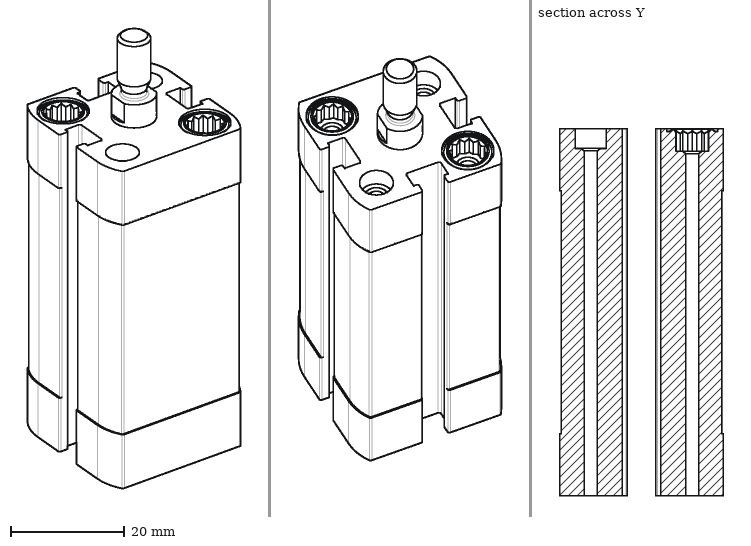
import cadquery as cq
import math

TOTAL_HEIGHT = 81.7

CAP_WIDTH = 29.0
TUBE_INSET = 0.25
HOUSING_HEIGHT = 65.0
CAP_HEIGHT = 11.0
HOLE_OFFSET = 9.0
CORNER_RADIUS = 10.0
CORNER_EDGE_ROUND = 0.5

SLOT_ANGLES = (90, 180, 270)
SLOT_MOUTH = 5.0
SLOT_WIDTH = 6.8
SLOT_DEPTH = 5.2
LIP_DEPTH = 2.0
LIP_ROUND = 0.3
SLOT_CORNER_ROUND = 0.4

THROUGH_DIAMETER = 3.3
COUNTERSINK_DIAMETER = 4.2
COUNTERBORE_DIAMETER = 6.0
COUNTERBORE_DEPTH = 3.5

SOCKET_ACROSS_FLATS = 5.7
SOCKET_DEPTH = 4.0
RECESS_DIAMETER = 9.2
GROOVE_DEPTH = 0.5
CROWN_DIAMETER = 8.5
CREST_DIAMETER = 7.5
CREST_DROP = 0.2
SOCKET_MOUTH_DIAMETER = 6.95
SOCKET_MOUTH_DEPTH = 1.1

COLLAR_DIAMETER = 8.0
COLLAR_HEIGHT = 4.7
FLATS_WIDTH = 7.0
FLATS_HEIGHT = 3.9
NECK_DIAMETER = 4.5
NECK_HEIGHT = 1.15
NECK_ROUND = 0.3
STUD_DIAMETER = 6.0
STUD_CONE_HEIGHT = 2.0
STUD_CHAMFER = 0.6


def turned(profile):
    """Solid of revolution about Z from a closed (radius, z) outline."""
    return cq.Workplane("XZ").polyline(profile).close().revolve(360, (0, 0, 0), (0, 1, 0))


def outline_prism(width, height):
    """Square section with flat X faces and a large arc running into each Y face."""
    half = width / 2
    run = half - HOLE_OFFSET
    sweep = math.asin(run / CORNER_RADIUS)
    end_y = half - CORNER_RADIUS * (1 - math.cos(sweep))
    mid_x = HOLE_OFFSET + CORNER_RADIUS * math.sin(sweep / 2)
    mid_y = half - CORNER_RADIUS * (1 - math.cos(sweep / 2))
    prism = (
        cq.Workplane("XY")
        .moveTo(-HOLE_OFFSET, half)
        .lineTo(HOLE_OFFSET, half)
        .threePointArc((mid_x, mid_y), (half, end_y))
        .lineTo(half, -end_y)
        .threePointArc((mid_x, -mid_y), (HOLE_OFFSET, -half))
        .lineTo(-HOLE_OFFSET, -half)
        .threePointArc((-mid_x, -mid_y), (-half, -end_y))
        .lineTo(-half, end_y)
        .threePointArc((-mid_x, mid_y), (-HOLE_OFFSET, half))
        .close()
        .extrude(height)
    )
    return prism.edges("|Z and (<X or >X)").fillet(CORNER_EDGE_ROUND)


def slot_cutter(width, height):
    """T-slot opening toward +X, with a rounded mouth on a section of the given width."""
    face = width / 2
    floor = CAP_WIDTH / 2 - SLOT_DEPTH
    lip_inside = CAP_WIDTH / 2 - LIP_DEPTH
    mouth_half = SLOT_MOUTH / 2
    lip_mid = (lip_inside + face) / 2
    blank = cq.Workplane("XY").box(face - floor, 2 * SLOT_WIDTH, height, centered=(False, True, False))
    blank = blank.translate((floor, 0, 0))
    lip_size = SLOT_WIDTH - mouth_half
    for side in (-1, 1):
        lip = (
            cq.Workplane("XY")
            .box(face - lip_inside, lip_size, height, centered=(True, True, False))
            .translate((lip_mid, side * (mouth_half + lip_size / 2), 0))
            .edges("|Z and " + ("<Y" if side > 0 else ">Y"))
            .fillet(LIP_ROUND)
        )
        blank = blank.cut(lip)
    pocket_limit = cq.Workplane("XY").box(2 * SLOT_DEPTH, SLOT_WIDTH, height, centered=(False, True, False))
    pocket_limit = pocket_limit.translate((floor, 0, 0)).edges("|Z and <X").fillet(SLOT_CORNER_ROUND)
    return blank.intersect(pocket_limit)


def housing_section(width, z_bottom, height):
    """One length of the housing with its three sensor slots."""
    section = outline_prism(width, height)
    cutter = slot_cutter(width, height)
    for angle in SLOT_ANGLES:
        section = section.cut(cutter.rotate((0, 0, 0), (0, 0, 1), angle))
    return section.translate((0, 0, z_bottom))


def through_hole_cutter(floor_depth):
    """Through hole, countersunk where it opens into a floor this far below the housing top."""
    floor_z = HOUSING_HEIGHT - floor_depth
    radius = THROUGH_DIAMETER / 2
    sink_radius = COUNTERSINK_DIAMETER / 2
    return turned([
        (0, 0),
        (radius, 0),
        (radius, floor_z - (sink_radius - radius)),
        (sink_radius, floor_z),
        (0, floor_z),
    ])


def plain_hole_cutter():
    """Counterbored through hole."""
    counterbore = (
        cq.Workplane("XY", origin=(0, 0, HOUSING_HEIGHT - COUNTERBORE_DEPTH))
        .circle(COUNTERBORE_DIAMETER / 2)
        .extrude(COUNTERBORE_DEPTH)
    )
    return through_hole_cutter(COUNTERBORE_DEPTH).union(counterbore)


def socket_hole_cutter():
    """Through hole below a twelve-point socket with a raised crown and a ring groove."""
    top = HOUSING_HEIGHT
    crest_z = top - CREST_DROP
    groove_z = top - GROOVE_DEPTH
    mouth_end_z = top - SOCKET_MOUTH_DEPTH
    cutter = turned([
        (0, top),
        (RECESS_DIAMETER / 2, top),
        (RECESS_DIAMETER / 2, groove_z),
        (CROWN_DIAMETER / 2, groove_z),
        (CREST_DIAMETER / 2, crest_z),
        (SOCKET_MOUTH_DIAMETER / 2, crest_z),
        (SOCKET_ACROSS_FLATS / 2, mouth_end_z),
        (0, mouth_end_z),
    ])
    for angle in (0, 30):
        hexagon = (
            cq.Workplane("XY", origin=(0, 0, top - SOCKET_DEPTH))
            .polygon(6, SOCKET_ACROSS_FLATS, circumscribed=True)
            .extrude(SOCKET_DEPTH)
            .rotate((0, 0, 0), (0, 0, 1), angle)
        )
        cutter = cutter.union(hexagon)
    return cutter.union(through_hole_cutter(SOCKET_DEPTH))


def build_housing():
    """Tube between two slightly wider end caps, with a hole in each corner."""
    tube_width = CAP_WIDTH - 2 * TUBE_INSET
    tube_height = HOUSING_HEIGHT - 2 * CAP_HEIGHT
    body = housing_section(CAP_WIDTH, 0, CAP_HEIGHT)
    body = body.union(housing_section(tube_width, CAP_HEIGHT, tube_height))
    body = body.union(housing_section(CAP_WIDTH, HOUSING_HEIGHT - CAP_HEIGHT, CAP_HEIGHT))
    plain_hole = plain_hole_cutter()
    socket_hole = socket_hole_cutter()
    for side in (-1, 1):
        offset = side * HOLE_OFFSET
        body = body.cut(plain_hole.translate((offset, -offset, 0)))
        body = body.cut(socket_hole.translate((offset, offset, 0)))
    return body


def build_piston_rod():
    """Flatted collar on the housing top, then an undercut neck and a chamfered stud."""
    collar_radius = COLLAR_DIAMETER / 2
    neck_radius = NECK_DIAMETER / 2
    stud_radius = STUD_DIAMETER / 2
    collar_top = HOUSING_HEIGHT + COLLAR_HEIGHT
    neck_top = collar_top + NECK_HEIGHT
    arc_offset = NECK_ROUND * (1 - math.sqrt(0.5))
    body = (
        cq.Workplane("XZ")
        .moveTo(0, HOUSING_HEIGHT)
        .lineTo(collar_radius, HOUSING_HEIGHT)
        .lineTo(collar_radius, collar_top)
        .lineTo(neck_radius + NECK_ROUND, collar_top)
        .threePointArc(
            (neck_radius + arc_offset, collar_top + arc_offset),
            (neck_radius, collar_top + NECK_ROUND),
        )
        .lineTo(neck_radius, neck_top)
        .lineTo(stud_radius, neck_top + STUD_CONE_HEIGHT)
        .lineTo(stud_radius, TOTAL_HEIGHT - STUD_CHAMFER)
        .lineTo(stud_radius - STUD_CHAMFER, TOTAL_HEIGHT)
        .lineTo(0, TOTAL_HEIGHT)
        .close()
        .revolve(360, (0, 0, 0), (0, 1, 0))
    )
    flat_cutter = cq.Workplane("XY").box(
        COLLAR_DIAMETER, COLLAR_DIAMETER, FLATS_HEIGHT, centered=(True, True, False)
    )
    for side in (-1, 1):
        flat_y = side * (FLATS_WIDTH + COLLAR_DIAMETER) / 2
        body = body.cut(flat_cutter.translate((0, flat_y, collar_top - FLATS_HEIGHT)))
    return body


housing = build_housing()
piston_rod = build_piston_rod()
result = cq.Compound.makeCompound([housing.val(), piston_rod.val()])